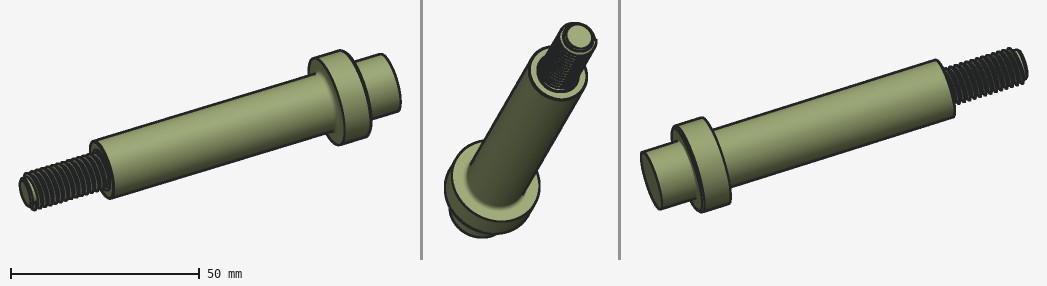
import cadquery as cq
import math

overall_length = 105

body_radius = 8.0
head_length = 10.0
collar_diameter = 24.0
collar_length = 8.0
collar_chamfer = 0.5
shaft_fillet = 1.2
head_fillet = 0.2
end_chamfer = 0.2

stud_length = 22.0
shank_length = 21.0
crest_radius = 5.0
root_radius = 4.1
tip_chamfer = 0.5
thread_length = 21.0
thread_turns = 14
crest_width = 0.1
flank_angle = 30.0
root_overlap = 0.1
bore_countersink = 0.6

collar_front = overall_length - stud_length - head_length - collar_length
collar_back = collar_front + collar_length
head_end = collar_back + head_length
collar_radius = collar_diameter / 2
countersink_radius = crest_radius + bore_countersink
pitch = thread_length / thread_turns


def revolve_about_y(outline):
    """Turn a closed (radius, Y) outline through a full circle."""
    return outline.close().revolve(360, (0, 0, 0), (0, 1, 0))


def make_sleeve():
    """Collared sleeve with a countersunk blind bore in its shaft end."""
    outline = (
        cq.Workplane("XY")
        .moveTo(countersink_radius, 0)
        .lineTo(body_radius - end_chamfer, 0)
        .lineTo(body_radius, end_chamfer)
        .lineTo(body_radius, collar_front - shaft_fillet)
        .radiusArc((body_radius + shaft_fillet, collar_front), shaft_fillet)
        .lineTo(collar_radius, collar_front)
        .lineTo(collar_radius, collar_back - collar_chamfer)
        .lineTo(collar_radius - collar_chamfer, collar_back)
        .lineTo(body_radius + head_fillet, collar_back)
        .radiusArc((body_radius, collar_back + head_fillet), head_fillet)
        .lineTo(body_radius, head_end)
        .lineTo(0, head_end)
        .lineTo(0, shank_length)
        .lineTo(crest_radius, shank_length)
        .lineTo(crest_radius, bore_countersink)
    )
    return revolve_about_y(outline)


def make_thread_ridge():
    """Trapezoidal helical ridge, wound about Z from its start at z = 0."""
    base_radius = root_radius - root_overlap
    half_crest = crest_width / 2
    half_base = half_crest + (crest_radius - base_radius) * math.tan(math.radians(flank_angle))
    helix = cq.Wire.makeHelix(pitch, thread_length, root_radius)
    return (
        cq.Workplane("XZ")
        .polyline([
            (base_radius, -half_base),
            (crest_radius, -half_crest),
            (crest_radius, half_crest),
            (base_radius, half_base),
        ])
        .close()
        .sweep(cq.Workplane(helix), isFrenet=True)
    )


def make_stud():
    """Stud with a plain shank in the bore and a threaded, chamfered tip."""
    outline = (
        cq.Workplane("XY")
        .moveTo(0, -stud_length)
        .lineTo(root_radius - tip_chamfer, -stud_length)
        .lineTo(root_radius, tip_chamfer - stud_length)
        .lineTo(root_radius, bore_countersink)
        .lineTo(crest_radius, bore_countersink)
        .lineTo(crest_radius, shank_length)
        .lineTo(0, shank_length)
    )
    ridge = (
        make_thread_ridge()
        .rotate((0, 0, 0), (1, 0, 0), -90)
        .translate((0, -thread_length, 0))
    )
    return revolve_about_y(outline).union(ridge).solids()


sleeve = make_sleeve()
stud = make_stud()

result = cq.Compound.makeCompound([sleeve.val(), stud.val()])